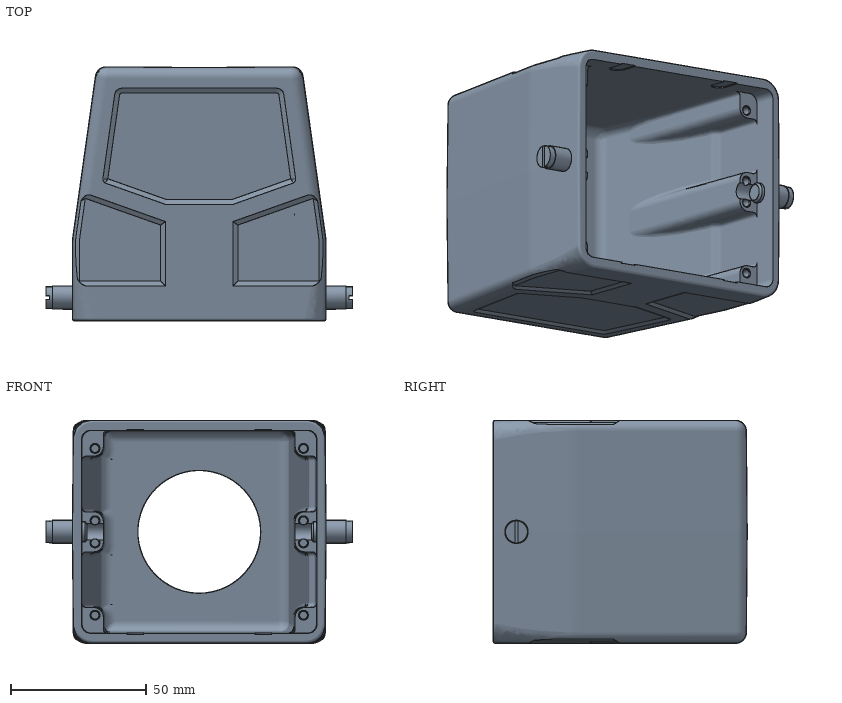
import cadquery as cq
import math

half_width = 47.0
half_height = 41.3
depth = 94.0
bend_y = 29.8
bend_radius = 20.4
side_lean = 8.0
parting_draft = 0.5
edge_radius = 4.1
rim_radius = 0.9

flare_start = 27.2
flare_rounding = [(flare_start, edge_radius), (13.2, 5.1), (0, 7.6)]

mouth_half_width = 43.5
mouth_half_height = 37.5
neck_half_width = 43.0
neck_y = 31.2
floor_y = 90.3
floor_half_height = 37.1
floor_left_x = -35.8
floor_right_x = 32.9
step_run = 2.3
step_radius = 2.0
cavity_corner_radius = 3.4
floor_radius = 4.0
cable_hole_radius = 22.7

rib_front_y = 9.5
rib_inner_x = 35.5
rib_draft = 0.5
rib_corner_radius = 3.4
rib_seam_radius = 1.6
middle_rib_half_height = 7.4
corner_rib_z = 28.0
screw_x = 38.5
middle_screw_z = 4.1
corner_screw_z = 30.8
screw_hole_radius = 1.5
screw_countersink = 0.3
screw_hole_depth = 13.6

pin_y = 8.6
pin_radius = 4.3
pin_end_x = 56.7
pin_inner_x = 41.5
pin_inner_radius = 3.7
pin_inner_chamfer = 0.8
pin_tip_length = 2.4
pin_tip_radius = 4.1
pin_slot_width = 1.2
pin_slot_depth = 1.2
rib_notch_radius = 3.2

panel_depth = 0.9
panel_wall_run = 1.8
panel_taper = math.degrees(math.atan2(panel_wall_run, panel_depth))
panel_half_gap = 12.5
panel_slope = math.tan(math.radians(19.5))
label_front_y = 43.1
label_back_y = 86.1
label_corner_half_width = 35.8
label_front_radius = 1.8
label_back_radius = 2.7
grip_front_y = 12.9
grip_back_y = 36.7
grip_tool_depth = 2.5
grip_border_inset = 2.6

mouth_slot_x = 23.7
mouth_slot_radius = 3.1
mouth_slot_end_y = 6.6
mouth_slot_depth = 0.4

lean_slope = math.tan(math.radians(side_lean))
back_half_width = half_width - lean_slope * (depth - bend_y)


def both_sides(solid, plane):
    return solid.union(solid.mirror(plane))


def outline(inset=0.0, front=-5.7):
    """Plan outline of the shell at mid height, optionally moved inward at its sides."""
    bend_tangent = bend_radius * math.tan(math.radians(side_lean / 2))
    half_lean = math.radians(side_lean / 2)
    start_y = bend_y - bend_tangent
    end = (
        half_width - bend_tangent * math.sin(2 * half_lean),
        bend_y + bend_tangent * math.cos(2 * half_lean),
    )
    middle = (
        half_width - bend_radius * (1 - math.cos(half_lean)),
        start_y + bend_radius * math.sin(half_lean),
    )
    return (
        cq.Workplane("XY")
        .moveTo(half_width - inset, front)
        .lineTo(half_width - inset, start_y)
        .threePointArc((middle[0] - inset, middle[1]), (end[0] - inset, end[1]))
        .lineTo(back_half_width - inset, depth)
        .lineTo(-back_half_width + inset, depth)
        .lineTo(-end[0] + inset, end[1])
        .threePointArc((-middle[0] + inset, middle[1]), (-half_width + inset, start_y))
        .lineTo(-half_width + inset, front)
        .close()
    )


def slab(y_start, y_end):
    size = 2 * depth
    return cq.Workplane("XY").box(size, y_end - y_start, size).translate((0, (y_start + y_end) / 2, 0))


def flare_cutter():
    """Waste outside the growing rounding of the +X, +Z front corner."""
    draft = math.radians(parting_draft)
    corner_x = half_width - half_height * math.tan(draft)
    margin = 3.4
    sections = None
    previous_y = 0
    for y, radius in flare_rounding:
        tangent = radius * math.tan(math.radians(45 - parting_draft / 2))
        top = (corner_x - tangent, half_height)
        side = (corner_x + tangent * math.sin(draft), half_height - tangent * math.cos(draft))
        reach = math.radians(45 + parting_draft / 2)
        middle = (top[0] + radius * math.cos(reach), half_height - radius + radius * math.sin(reach))
        if sections is None:
            sections = cq.Workplane("XZ").workplane(offset=-y)
        else:
            sections = sections.workplane(offset=previous_y - y)
        sections = (
            sections.moveTo(*top)
            .threePointArc(middle, side)
            .lineTo(half_width + margin, side[1])
            .lineTo(half_width + margin, half_height + margin)
            .lineTo(top[0], half_height + margin)
            .close()
        )
        previous_y = y
    return sections.loft()


def is_back_corner(edge):
    """True for the upright corner edges between the back wall and the sides."""
    middle = edge.Center()
    is_upright = 1.1 < middle.z < half_height - 1.1
    return is_upright and middle.y > depth - 1.1 and abs(middle.x) > back_half_width - 1.1


def shell_body():
    """Solid outer shape: the upper half is built and mirrored at mid height."""
    upper = outline().extrude(half_height, taper=parting_draft)
    back = upper.intersect(slab(flare_start, depth + 1.1))
    top_edges = back.faces(">Z").edges("not <Y")
    back = top_edges.add(back.edges().filter(is_back_corner)).fillet(edge_radius)
    front = upper.intersect(slab(0, flare_start))
    front = front.cut(both_sides(flare_cutter(), "YZ"))
    return both_sides(back.union(front), "XY").clean()


def cavity():
    """Hollow of the hood with the screw ribs left standing."""
    plan = (
        cq.Workplane("XY")
        .moveTo(-mouth_half_width, 0)
        .lineTo(mouth_half_width, 0)
        .lineTo(neck_half_width, neck_y)
        .lineTo(neck_half_width - step_run, neck_y + step_run)
        .lineTo(floor_right_x, floor_y)
        .lineTo(floor_left_x, floor_y)
        .lineTo(-neck_half_width, neck_y)
        .close()
        .extrude(mouth_half_height, both=True)
    )
    plan = plan.edges("|Z").edges(cq.selectors.BoxSelector(
        (neck_half_width - step_run - 1.1, neck_y - 1.1, -1.1),
        (neck_half_width + 1.1, neck_y + step_run + 1.1, 1.1),
    )).fillet(step_radius)
    profile = (
        cq.Workplane("YZ")
        .polyline([
            (0, -mouth_half_height),
            (floor_y, -floor_half_height),
            (floor_y, floor_half_height),
            (0, mouth_half_height),
        ])
        .close()
        .extrude(half_width, both=True)
    )
    hollow = plan.intersect(profile)
    long_edges = hollow.faces(">Z or <Z").edges("not |X")
    hollow = long_edges.fillet(cavity_corner_radius)
    hollow = hollow.faces(">Y").edges().fillet(floor_radius)
    hollow = hollow.cut(both_sides(ribs(), "YZ"))
    return hollow.edges().filter(is_rib_seam).fillet(rib_seam_radius)


def is_rib_seam(edge):
    """True for the edges along which the rib sides meet the cavity walls."""
    middle = edge.Center()
    x = abs(middle.x)
    z = abs(middle.z)
    tolerance = 0.6
    runs_along_depth = abs(edge.tangentAt(0.5).y) > 0.9 and rib_front_y < middle.y < floor_y
    beyond_corner = x > rib_inner_x + rib_corner_radius + 0.01
    on_rib_side = min(abs(z - middle_rib_half_height), abs(z - corner_rib_z)) < tolerance
    at_top_wall = abs(x - rib_inner_x) < tolerance and abs(z - mouth_half_height) < tolerance
    return runs_along_depth and (beyond_corner and on_rib_side or at_top_wall)


def rib(z_low, z_high, rounded_corners):
    """One +X rib, widening with draft from its front face past the cavity floor."""
    width = half_width - rib_inner_x
    profile = (
        cq.Sketch()
        .push([(rib_inner_x + width / 2, (z_low + z_high) / 2)])
        .rect(width, z_high - z_low)
        .reset()
        .vertices(rounded_corners)
        .fillet(rib_corner_radius)
    )
    plane = cq.Workplane("XZ", origin=(0, rib_front_y, 0))
    bar = plane.placeSketch(profile).extrude(rib_front_y - depth, taper=-rib_draft)
    footed = bar.union(slab(floor_y, depth))
    floor_face = footed.faces(cq.selectors.NearestToPointSelector((0, floor_y, 0)))
    foot_wire = floor_face.val().innerWires()[0]
    return footed.newObject(foot_wire.Edges()).fillet(floor_radius)


def ribs():
    """Middle rib and both corner ribs of the +X side."""
    middle = rib(-middle_rib_half_height, middle_rib_half_height, "<X")
    corner = rib(corner_rib_z, half_height, "<X and <Y")
    return both_sides(corner, "XY").union(middle)


def screw_holes():
    """Blind countersunk screw holes in the rib front faces."""
    heights = (-corner_screw_z, -middle_screw_z, middle_screw_z, corner_screw_z)
    centres = [(x, z) for x in (-screw_x, screw_x) for z in heights]
    plane = cq.Workplane("XZ", origin=(0, rib_front_y, 0)).pushPoints(centres)
    bores = plane.circle(screw_hole_radius).extrude(-screw_hole_depth)
    sinks = plane.circle(screw_hole_radius + screw_countersink).extrude(-screw_countersink, taper=45)
    return bores.union(sinks)


def rib_notches():
    """Round channels across the middle ribs, clearing the pins."""
    length = 2 * mouth_half_width - 1.1
    return cq.Workplane("YZ").center(pin_y, 0).circle(rib_notch_radius).extrude(length / 2, both=True)


def pin():
    """+X locking pin with a slightly reduced, slotted tip."""
    shank_end = pin_end_x - pin_tip_length
    head_end = mouth_half_width + 1.1
    head = (
        cq.Workplane("YZ", origin=(pin_inner_x, pin_y, 0))
        .circle(pin_inner_radius)
        .extrude(head_end - pin_inner_x)
        .faces("<X")
        .chamfer(pin_inner_chamfer)
    )
    shank = cq.Workplane("YZ", origin=(head_end, pin_y, 0)).circle(pin_radius).extrude(shank_end - head_end)
    tip = cq.Workplane("YZ", origin=(shank_end, pin_y, 0)).circle(pin_tip_radius).extrude(pin_tip_length)
    slot = cq.Workplane("XY").box(2 * pin_slot_depth, pin_slot_width, 3 * pin_radius)
    return head.union(shank).union(tip).cut(slot.translate((pin_end_x, pin_y, 0)))


def sink(profile, distance, taper):
    """Extrude a plan profile down from the top face, shrinking (or spreading) by the taper."""
    return profile.extrude(distance, taper=taper).mirror("XY").translate((0, 0, half_height))


def label_panel():
    """Recess in the upper middle of the top face."""
    corner_y = label_front_y + panel_slope * (label_corner_half_width - panel_half_gap)
    back_half = label_corner_half_width - lean_slope * (label_back_y - corner_y)
    profile = (
        cq.Sketch()
        .polygon([
            (-panel_half_gap, label_front_y),
            (panel_half_gap, label_front_y),
            (label_corner_half_width, corner_y),
            (back_half, label_back_y),
            (-back_half, label_back_y),
            (-label_corner_half_width, corner_y),
            (-panel_half_gap, label_front_y),
        ])
        .vertices(">Y")
        .fillet(label_back_radius)
        .reset()
        .vertices("<X or >X")
        .fillet(label_front_radius)
    )
    return sink(cq.Workplane("XY").placeSketch(profile), panel_depth, panel_taper)


def grip_panel():
    """Recess at the +X edge of the top face; its border falls away toward the side."""
    outer_x = half_width + 11.3
    outer_back_y = grip_back_y + panel_slope * (outer_x - panel_half_gap)
    profile = cq.Workplane("XY").polyline([
        (panel_half_gap, grip_front_y),
        (outer_x, grip_front_y),
        (outer_x, outer_back_y),
        (panel_half_gap, grip_back_y),
    ]).close()
    pocket = sink(profile, grip_tool_depth, panel_taper)
    floor = sink(outline(grip_border_inset), grip_tool_depth, -panel_taper)
    return pocket.cut(floor.translate((0, 0, -panel_depth)))


def mouth_slots():
    """Shallow round-ended slots in the cavity's top wall, open toward the rim."""
    top_z = mouth_half_height + mouth_slot_depth
    return (
        cq.Workplane("XY", origin=(0, 0, top_z))
        .pushPoints([(-mouth_slot_x, 0), (mouth_slot_x, 0)])
        .slot2D(2 * (mouth_slot_end_y + mouth_slot_radius), 2 * mouth_slot_radius, 90)
        .extrude(-2 * mouth_slot_radius)
    )


body = shell_body().faces("<Y").edges().fillet(rim_radius)
body = body.cut(cavity())
body = body.cut(cq.Workplane("XZ").circle(cable_hole_radius).extrude(-2 * depth))
top_features = label_panel().union(both_sides(grip_panel(), "YZ")).union(mouth_slots())
body = body.cut(both_sides(top_features, "XY"))
body = body.cut(screw_holes()).cut(rib_notches())
result = body.union(both_sides(pin(), "YZ")).clean()